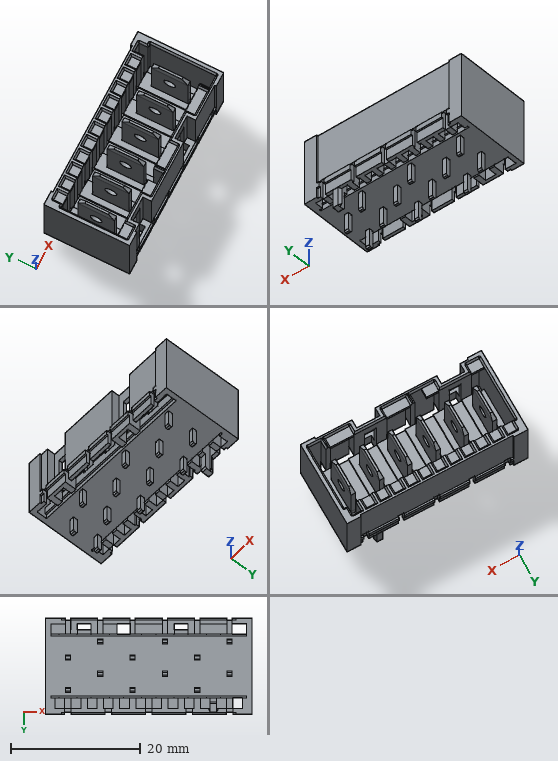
import cadquery as cq
import math

LENGTH = 32.0
WIDTH = 14.9
HEIGHT = 12.8
TAIL_LENGTH = 3.6

PANEL_HALF_LENGTH = 13.5
PANEL_RELIEF = 0.3
BAND_BOTTOM = 2.0
BAND_TOP = 3.0

CAVITY_HALF_LENGTH = 15.1
CAVITY_FRONT = -6.55
CAVITY_BACK = 4.9
LEAD_IN_WIDTH = 0.3
LEAD_IN_DEPTH = 0.4
LEAD_IN_BASE = HEIGHT - LEAD_IN_DEPTH

FLOOR_STEP_HEIGHT = 1.0
FLOOR_STEP_INSET = 0.3
FLOOR_TOP = 2.5
TERMINAL_PAD_TOP = 3.0
TERMINAL_PAD_WIDTH = 2.8

POCKET_COUNT = 12
POCKET_PITCH = 2.5
POCKET_WIDTH = 1.5
POCKET_BACK = 6.5
POCKET_ROW_HALF_LENGTH = ((POCKET_COUNT - 1) * POCKET_PITCH + POCKET_WIDTH) / 2
CAP_THICKNESS = 0.7

NICHE_CENTRES = (-10.0, 5.0)
NICHE_WALL_HALF_WIDTH = 2.9
NICHE_HALF_WIDTH = 2.05
NICHE_LEDGE = 3.1
NICHE_WALL_INNER = -4.95
NICHE_WALL_OUTER = -5.65
WINDOW_WIDTH = 2.1
WINDOW_TOP = 10.15

DIVIDER_CENTRES = (-2.5, 12.5)
DIVIDER_WIDTH = 0.8
OPEN_KEY_WIDTH = 2.0

FRONT_SLOT_WIDTH = 0.8
BACK_NOTCH_COUNT = 5
BACK_NOTCH_PITCH = 6.25
BACK_NOTCH_WIDTH = 1.0
BACK_NOTCH_TOP = 3.3

TERMINAL_COUNT = 6
TERMINAL_PITCH = 5.0
TERMINAL_THICKNESS = 0.8
BLADE_Y = -0.05
BLADE_WIDTH = 6.35
BLADE_FOOT_WIDTH = 6.55
BLADE_FOOT_HEIGHT = 0.8
BLADE_TOP = 12.1
BLADE_TIP_HEIGHT = 0.9
BLADE_TIP_WIDTH = 4.1
BLADE_TIP_THICKNESS = 0.4
BLADE_HOLE_DIAMETER = 2.0
BLADE_HOLE_Z = 8.0
LEG_ROW_Y = -0.1
LEG_WIDTH = 0.8
LEG_SPACING = 5.0
LEG_STAGGER = 2.5
LEG_TIP_INSET = 0.2
LEG_TIP_HEIGHT = 0.3

PEG_X = 10.0
PEG_FRONT = 5.5
PEG_STEP = 6.5
PEG_BACK = 7.1
PEG_STEM_WIDTH = 1.0
PEG_HEAD_WIDTH = 1.6
PEG_TIP_SIDE_HEIGHT = 0.5
PEG_TIP_FRONT_INSET = 0.25
PEG_TIP_FRONT_HEIGHT = 0.35


def block(x_range, y_range, z_range):
    """Axis-aligned block from its X, Y and Z limits."""
    (x0, x1), (y0, y1), (z0, z1) = x_range, y_range, z_range
    return cq.Workplane("XY").box(x1 - x0, y1 - y0, z1 - z0, centered=False).translate((x0, y0, z0))


def around(centre, width):
    """Limits of a span of the given width about a centre."""
    return (centre - width / 2, centre + width / 2)


def row(count, pitch):
    """Centres of an evenly spaced row about zero."""
    return [(i - (count - 1) / 2) * pitch for i in range(count)]


def cavity():
    """Stepped cavity, open top and bottom, with a flared lead-in at the mouth."""
    outline = [
        (-POCKET_ROW_HALF_LENGTH, POCKET_BACK),
        (-POCKET_ROW_HALF_LENGTH, CAVITY_BACK),
        (-CAVITY_HALF_LENGTH, CAVITY_BACK),
        (-CAVITY_HALF_LENGTH, CAVITY_FRONT),
    ]
    for centre in NICHE_CENTRES:
        left, right = around(centre, 2 * NICHE_WALL_HALF_WIDTH)
        outline += [
            (left, CAVITY_FRONT),
            (left, NICHE_WALL_INNER),
            (right, NICHE_WALL_INNER),
            (right, CAVITY_FRONT),
        ]
    outline += [
        (CAVITY_HALF_LENGTH, CAVITY_FRONT),
        (CAVITY_HALF_LENGTH, CAVITY_BACK),
        (POCKET_ROW_HALF_LENGTH, CAVITY_BACK),
        (POCKET_ROW_HALF_LENGTH, POCKET_BACK),
    ]
    flare = math.degrees(math.atan2(LEAD_IN_WIDTH, LEAD_IN_DEPTH))
    shaft = cq.Workplane("XY").polyline(outline).close().extrude(LEAD_IN_BASE)
    mouth = (
        cq.Workplane("XY", origin=(0, 0, LEAD_IN_BASE))
        .polyline(outline).close().extrude(LEAD_IN_DEPTH, taper=-flare)
    )
    return shaft.union(mouth)


def shell():
    """Outer block with relieved side panels and the cavity removed."""
    body = block(around(0, LENGTH), around(0, WIDTH), (0, HEIGHT))
    panel = around(0, 2 * PANEL_HALF_LENGTH)
    front = (-WIDTH / 2, -WIDTH / 2 + PANEL_RELIEF)
    back = (WIDTH / 2 - PANEL_RELIEF, WIDTH / 2)
    for side in (front, back):
        body = body.cut(block(panel, side, (0, BAND_BOTTOM)))
        body = body.cut(block(panel, side, (BAND_TOP, HEIGHT)))
    return body.cut(cavity())


def rib(centre, base_width, y_range):
    """Upright rib whose top narrows by the lead-in on both sides."""
    half = base_width / 2
    top_half = half - LEAD_IN_WIDTH
    y0, y1 = y_range
    profile = [
        (centre - half, 0),
        (centre + half, 0),
        (centre + half, LEAD_IN_BASE),
        (centre + top_half, HEIGHT),
        (centre - top_half, HEIGHT),
        (centre - half, LEAD_IN_BASE),
    ]
    return cq.Workplane("XZ", origin=(0, y0, 0)).polyline(profile).close().extrude(y0 - y1)


def add_ribs(body):
    """Ribs between the rear coding pockets and dividers between the front pockets."""
    for x in row(POCKET_COUNT - 1, POCKET_PITCH):
        rib_span = (CAVITY_BACK, POCKET_BACK + LEAD_IN_WIDTH)
        body = body.union(rib(x, POCKET_PITCH - POCKET_WIDTH, rib_span))
    for x in DIVIDER_CENTRES:
        divider_span = (CAVITY_FRONT - LEAD_IN_WIDTH, NICHE_WALL_INNER)
        body = body.union(rib(x, DIVIDER_WIDTH, divider_span))
    return body


def add_caps(body):
    """Thin lids on every coding pocket except the open keys."""
    cap_z = (LEAD_IN_BASE - CAP_THICKNESS, LEAD_IN_BASE)
    for x in row(POCKET_COUNT, POCKET_PITCH)[:-1]:
        body = body.union(block(around(x, POCKET_WIDTH), (CAVITY_BACK, POCKET_BACK), cap_z))

    first_niche, second_niche = [around(x, 2 * NICHE_WALL_HALF_WIDTH) for x in NICHE_CENTRES]
    first_divider, second_divider = [around(x, DIVIDER_WIDTH) for x in DIVIDER_CENTRES]
    front_caps = (
        (-CAVITY_HALF_LENGTH, first_niche[0]),
        (first_niche[1], first_divider[0] - OPEN_KEY_WIDTH),
        (first_divider[1], second_niche[0]),
        (second_niche[1], second_divider[0]),
    )
    for span in front_caps:
        body = body.union(block(span, (CAVITY_FRONT, NICHE_WALL_INNER), cap_z))
    return body


def add_floor(body):
    """Cavity floor, stepped underneath, with a raised pad along each terminal."""
    length = around(0, 2 * CAVITY_HALF_LENGTH)
    depth = (NICHE_WALL_INNER, CAVITY_BACK)
    step_depth = (NICHE_WALL_INNER + FLOOR_STEP_INSET, CAVITY_BACK - FLOOR_STEP_INSET)
    body = body.union(block(length, depth, (FLOOR_STEP_HEIGHT, FLOOR_TOP)))
    body = body.union(block(length, step_depth, (0, FLOOR_STEP_HEIGHT)))
    for x in row(TERMINAL_COUNT, TERMINAL_PITCH):
        pad = block(around(x, TERMINAL_PAD_WIDTH), depth, (FLOOR_STEP_HEIGHT, TERMINAL_PAD_TOP))
        body = body.union(pad)
    return body


def cut_latch_niches(body):
    """Niches outside the front wall, each with a window and a hole in its ledge."""
    for x in NICHE_CENTRES:
        window = around(x, WINDOW_WIDTH)
        niche = around(x, 2 * NICHE_HALF_WIDTH)
        wall = (NICHE_WALL_OUTER, NICHE_WALL_INNER)
        body = body.cut(block(niche, (-WIDTH / 2 + PANEL_RELIEF, NICHE_WALL_OUTER), (NICHE_LEDGE, HEIGHT)))
        body = body.cut(block(window, wall, (NICHE_LEDGE, WINDOW_TOP)))
        body = body.cut(block(window, (CAVITY_FRONT, NICHE_WALL_INNER), (0, NICHE_LEDGE)))
    return body


def cut_edge_slots(body):
    """Slots through the lower front and back walls."""
    for x in row(TERMINAL_COUNT, TERMINAL_PITCH):
        front = (-WIDTH / 2, NICHE_WALL_INNER)
        body = body.cut(block(around(x, FRONT_SLOT_WIDTH), front, (0, BAND_TOP)))
    for x in row(BACK_NOTCH_COUNT, BACK_NOTCH_PITCH):
        back = (POCKET_BACK, WIDTH / 2)
        body = body.cut(block(around(x, BACK_NOTCH_WIDTH), back, (0, BACK_NOTCH_TOP)))
    return body


def leg(x, y):
    """Solder leg with a tip narrowed in Y."""
    half = LEG_WIDTH / 2
    tip_half = half - LEG_TIP_INSET
    tip_start = LEG_TIP_HEIGHT - TAIL_LENGTH
    profile = [
        (y - half, FLOOR_TOP),
        (y - half, tip_start),
        (y - tip_half, -TAIL_LENGTH),
        (y + tip_half, -TAIL_LENGTH),
        (y + half, tip_start),
        (y + half, FLOOR_TOP),
    ]
    start = cq.Workplane("YZ", origin=(x - TERMINAL_THICKNESS / 2, 0, 0))
    return start.polyline(profile).close().extrude(TERMINAL_THICKNESS)


def terminal(x, leg_shift):
    """Flat blade with a sloped foot, a tapered tip, a cross hole and two solder legs."""
    shoulder = BLADE_TOP - BLADE_TIP_HEIGHT
    blade = block(
        around(x, TERMINAL_THICKNESS), around(BLADE_Y, BLADE_WIDTH), (FLOOR_TOP, shoulder)
    )
    tip = (
        cq.Workplane("XY", origin=(x, BLADE_Y, shoulder))
        .rect(TERMINAL_THICKNESS, BLADE_WIDTH)
        .workplane(offset=BLADE_TIP_HEIGHT)
        .rect(BLADE_TIP_THICKNESS, BLADE_TIP_WIDTH)
        .loft(ruled=True)
    )
    hole = (
        cq.Workplane("YZ", origin=(x - TERMINAL_THICKNESS / 2, BLADE_Y, BLADE_HOLE_Z))
        .circle(BLADE_HOLE_DIAMETER / 2).extrude(TERMINAL_THICKNESS)
    )
    foot = (
        cq.Workplane("XY", origin=(x, BLADE_Y, TERMINAL_PAD_TOP))
        .rect(TERMINAL_THICKNESS, BLADE_FOOT_WIDTH)
        .workplane(offset=BLADE_FOOT_HEIGHT)
        .rect(TERMINAL_THICKNESS, BLADE_WIDTH)
        .loft(ruled=True)
    )
    blade = blade.union(foot).union(tip).cut(hole)
    for y in around(LEG_ROW_Y + leg_shift, LEG_SPACING):
        blade = blade.union(leg(x, y))
    return blade


def add_terminals(body):
    """Row of terminals whose legs alternate between two staggered positions."""
    for i, x in enumerate(row(TERMINAL_COUNT, TERMINAL_PITCH)):
        side = 1 if i % 2 == 0 else -1
        body = body.union(terminal(x, side * LEG_STAGGER / 2))
    return body


def add_peg(body):
    """Locating peg with its tip bevelled at the sides and the front."""
    stem = PEG_STEM_WIDTH / 2
    head = PEG_HEAD_WIDTH / 2
    plan = [
        (-stem, PEG_FRONT),
        (stem, PEG_FRONT),
        (stem, PEG_STEP),
        (head, PEG_STEP),
        (stem, PEG_BACK),
        (-stem, PEG_BACK),
        (-head, PEG_STEP),
        (-stem, PEG_STEP),
    ]
    side_bevel = [
        (-head, 0),
        (-head, PEG_TIP_SIDE_HEIGHT - TAIL_LENGTH),
        (-stem, -TAIL_LENGTH),
        (stem, -TAIL_LENGTH),
        (head, PEG_TIP_SIDE_HEIGHT - TAIL_LENGTH),
        (head, 0),
    ]
    front_bevel = [
        (PEG_FRONT, -TAIL_LENGTH),
        (PEG_FRONT + PEG_TIP_FRONT_INSET, -TAIL_LENGTH),
        (PEG_FRONT, PEG_TIP_FRONT_HEIGHT - TAIL_LENGTH),
    ]
    peg = cq.Workplane("XY").polyline(plan).close().extrude(-TAIL_LENGTH)
    peg = peg.intersect(cq.Workplane("XZ").polyline(side_bevel).close().extrude(-PEG_BACK))
    peg = peg.cut(cq.Workplane("YZ").polyline(front_bevel).close().extrude(stem, both=True))
    return body.union(peg.translate((PEG_X, 0, 0)))


housing = add_floor(add_caps(add_ribs(shell())))
housing = cut_edge_slots(cut_latch_niches(housing))
result = add_peg(add_terminals(housing))